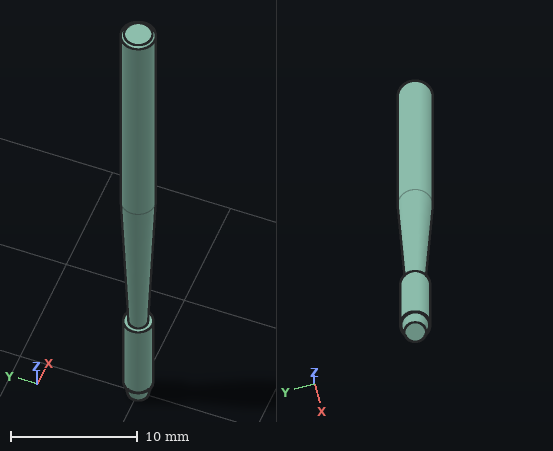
import cadquery as cq

TOTAL_LENGTH = 45.0

TIP_DIAMETER = 2.4
TIP_LENGTH = 9.0
NOSE_TOP_DIAMETER = 2.2
NOSE_END_DIAMETER = 1.7
NOSE_LENGTH = 1.35

SHANK_DIAMETER = 2.8
NECK_DIAMETER = 1.58
TAPER_LENGTH = 15.08
TOP_CHAMFER_WIDTH = 0.25
TOP_CHAMFER_HEIGHT = 0.2


def make_tip():
    """Turned tip, standing on Z = 0 with its narrow nose down."""
    tip_radius = TIP_DIAMETER / 2
    profile = [
        (0, 0),
        (NOSE_END_DIAMETER / 2, 0),
        (NOSE_TOP_DIAMETER / 2, NOSE_LENGTH),
        (tip_radius, NOSE_LENGTH),
        (tip_radius, TIP_LENGTH),
        (0, TIP_LENGTH),
    ]
    return revolve_about_z(profile)


def make_shank():
    """Turned shank with a long taper below and a chamfered top end."""
    shank_radius = SHANK_DIAMETER / 2
    profile = [
        (0, TIP_LENGTH),
        (NECK_DIAMETER / 2, TIP_LENGTH),
        (shank_radius, TIP_LENGTH + TAPER_LENGTH),
        (shank_radius, TOTAL_LENGTH - TOP_CHAMFER_HEIGHT),
        (shank_radius - TOP_CHAMFER_WIDTH, TOTAL_LENGTH),
        (0, TOTAL_LENGTH),
    ]
    return revolve_about_z(profile)


def revolve_about_z(profile):
    """Turn a closed (radius, height) profile once around the Z axis."""
    outline = cq.Workplane("XZ").polyline(profile).close()
    return outline.revolve(360, (0, 0, 0), (0, 1, 0))


tip = make_tip()
shank = make_shank()

result = cq.Compound.makeCompound([tip.val(), shank.val()])